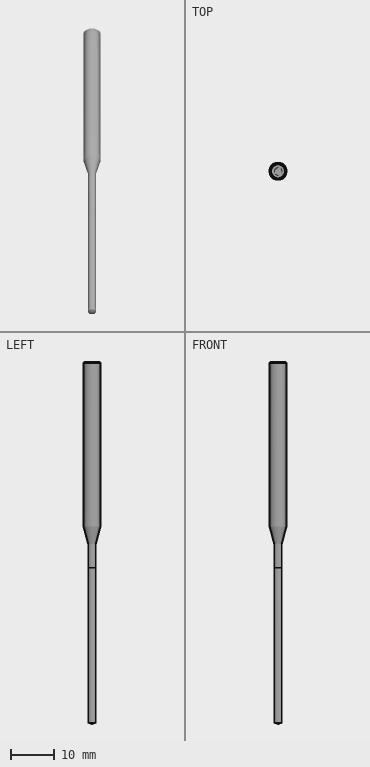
import cadquery as cq
import math

total_length = 84.0
cutter_length = 36.2
shank_bottom = 45.8

shank_diameter = 4.0
cutter_diameter = 1.8

point_angle = 140.0
shoulder_half_angle = 15.0
shank_chamfer = 0.4

shank_radius = shank_diameter / 2
cutter_radius = cutter_diameter / 2
neck_radius = cutter_radius

point_height = cutter_radius / math.tan(math.radians(point_angle / 2))
shoulder_height = (shank_radius - neck_radius) / math.tan(math.radians(shoulder_half_angle))
neck_top = shank_bottom - shoulder_height


def revolve_about_z(profile):
    """Turn a closed (radius, height) profile about the Z axis, starting from the -Y side."""
    points = [(-radius, height) for radius, height in profile]
    return cq.Workplane("YZ").polyline(points).close().revolve(360, (0, 0, 0), (0, 1, 0))


def make_cutter():
    """Slim round rod with a shallow conical point at its lower end."""
    return revolve_about_z([
        (0, 0),
        (cutter_radius, point_height),
        (cutter_radius, cutter_length),
        (0, cutter_length),
    ])


def make_shank():
    """Short neck, conical shoulder and a round shank chamfered at the top."""
    return revolve_about_z([
        (0, cutter_length),
        (neck_radius, cutter_length),
        (neck_radius, neck_top),
        (shank_radius, shank_bottom),
        (shank_radius, total_length - shank_chamfer),
        (shank_radius - shank_chamfer, total_length),
        (0, total_length),
    ])


cutter = make_cutter()
shank = make_shank()

result = cq.Compound.makeCompound([cutter.val(), shank.val()])